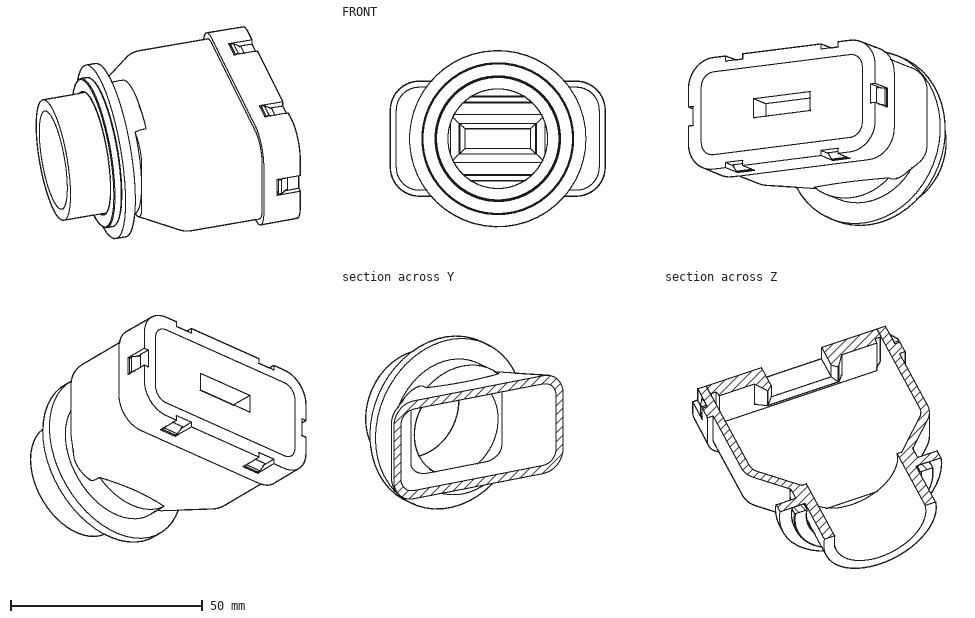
import cadquery as cq
import math


LENGTH = 59.0
SPIGOT_RADIUS = 32.0 / 2
BORE_RADIUS = 26.0 / 2
FLANGE_RADIUS = 46.0 / 2
FLANGE_FRONT = 12.9
FLANGE_BACK = 15.6
COLLAR_RADIUS = 35.0 / 2
COLLAR_BACK = 21.95
COLLAR_CONE_ANGLE = 15.0

BODY_HALF_WIDTH = 26.5
BODY_HALF_HEIGHT = 13.45
BODY_FRONT = 18.9
BODY_CORNER = 6.0
WALL = 2.35

CAP_STEP = 1.6
CAP_DEPTH = 10.0
CAP_DRAFT = 0.5

LATCH_OFFSET = 14.3
RECESS_WIDTH = 5.1
RECESS_LENGTH = 6.4
RECESS_DEPTH = 1.4
LEAD_IN_LENGTH = 2.0
LEAD_IN_DROP = 0.05
CATCH_SIDE_GAP = 0.3
CATCH_FRONT_GAP = 0.4
CATCH_RAMP = 2.0
CATCH_LAND = 0.8
CATCH_HEIGHT = 1.3

RING_INNER_RADIUS = 16.15
RING_EDGE_RADIUS = 19.75
RING_CREST_RADIUS = 19.8
RING_WIDTH = 2.2
RING_CHAMFER = 0.25

PLATE_THICKNESS = 2.95
PLATE_CHAMFER = 0.25
PAD_HALF_HEIGHT = 9.55
PAD_HEIGHT = 1.5
PAD_DRAFT_RUN = 0.25
LIP_HEIGHT = 3.35
LIP_BASE = (12.4, 6.25)
LIP_CREST = (10.15, 4.0)
WINDOW = (8.5, 2.55)
FUNNEL_RUN = 1.4
FUNNEL_DEPTH = 1.25

CAP_BACK_STEP = CAP_STEP - CAP_DEPTH * math.tan(math.radians(CAP_DRAFT))
CAVITY_HALF_WIDTH = BODY_HALF_WIDTH - WALL
CAVITY_HALF_HEIGHT = BODY_HALF_HEIGHT - WALL
CAVITY_CORNER = BODY_CORNER - WALL
PLATE_FRONT = LENGTH - PLATE_THICKNESS
PAD_FRONT = PLATE_FRONT - PAD_HEIGHT
LIP_FRONT = PAD_FRONT - LIP_HEIGHT
FUNNEL_MOUTH = (WINDOW[0] + FUNNEL_RUN, WINDOW[1] + FUNNEL_RUN)


def section_at(y):
    """Workplane across the Y axis; its local X and Y are the X and Z axes, and it extrudes to -Y."""
    return cq.Workplane("XZ", origin=(0, y, 0))


def rounded_bar(half_width, half_height, corner, front, back):
    """Straight bar along Y with rounded long edges."""
    bar = section_at(back).rect(2 * half_width, 2 * half_height).extrude(back - front)
    return bar.edges("|Y").fillet(corner)


def shouldered_block(half_width, half_height, corner, front, front_half_width):
    """Flat block that ends at LENGTH and narrows at 45 degrees to its front, with rounded side edges."""
    shoulder = front + half_width - front_half_width
    block = (
        cq.Workplane("XY", origin=(0, 0, -half_height))
        .moveTo(-front_half_width, front)
        .lineTo(front_half_width, front)
        .lineTo(half_width, shoulder)
        .lineTo(half_width, LENGTH)
        .lineTo(-half_width, LENGTH)
        .lineTo(-half_width, shoulder)
        .close()
        .extrude(2 * half_height)
    )
    block = block.edges("|Z").edges(">>Y[-2]").fillet(corner)
    rim = block.faces("<Z or >Z").edges("not(<Y or >Y)")
    return rim.fillet(corner)


def turned_end():
    """Spigot, flange and collar, with a shallow cone behind the collar."""
    cone_height = COLLAR_RADIUS * math.tan(math.radians(COLLAR_CONE_ANGLE))
    profile = [
        (0, 0),
        (SPIGOT_RADIUS, 0),
        (SPIGOT_RADIUS, FLANGE_FRONT),
        (FLANGE_RADIUS, FLANGE_FRONT),
        (FLANGE_RADIUS, FLANGE_BACK),
        (COLLAR_RADIUS, FLANGE_BACK),
        (COLLAR_RADIUS, COLLAR_BACK),
        (0, COLLAR_BACK + cone_height),
    ]
    return cq.Workplane("XY").polyline(profile).close().revolve(360, (0, 0), (0, 1))


def cap_band():
    """Thicker band at the open end, drafted so that it grows towards its front edge."""
    return (
        section_at(LENGTH)
        .sketch()
        .rect(2 * (BODY_HALF_WIDTH + CAP_BACK_STEP), 2 * (BODY_HALF_HEIGHT + CAP_BACK_STEP))
        .vertices()
        .fillet(BODY_CORNER + CAP_BACK_STEP)
        .finalize()
        .extrude(CAP_DEPTH, taper=-CAP_DRAFT)
    )


def latch_recess():
    """Recess cutter, with its floor on Z = 0 and its open end at the back of the housing."""
    lead_in_start = LENGTH - LEAD_IN_LENGTH
    top = 2 * RECESS_DEPTH
    profile = [
        (LENGTH - RECESS_LENGTH, 0),
        (lead_in_start, 0),
        (LENGTH, -LEAD_IN_DROP),
        (LENGTH, top),
        (LENGTH - RECESS_LENGTH, top),
    ]
    return cq.Workplane("YZ").polyline(profile).close().extrude(RECESS_WIDTH / 2, both=True)


def latch_catch():
    """Catch that rises from the recess floor at Z = 0, with its ramp facing the open end."""
    front = LENGTH - RECESS_LENGTH + CATCH_FRONT_GAP
    land_back = front + CATCH_LAND
    profile = [
        (front, 0),
        (front, CATCH_HEIGHT),
        (land_back, CATCH_HEIGHT),
        (land_back + CATCH_RAMP, 0),
    ]
    catch_width = RECESS_WIDTH - 2 * CATCH_SIDE_GAP
    return cq.Workplane("YZ").polyline(profile).close().extrude(catch_width / 2, both=True)


def latch_places():
    """Turn about Y, sideways offset and floor height of each latch."""
    places = []
    floor_rise = CAP_STEP - RECESS_DEPTH
    for turn in (0, 180):
        for offset in (-LATCH_OFFSET, LATCH_OFFSET):
            places.append((turn, offset, BODY_HALF_HEIGHT + floor_rise))
    for turn in (-90, 90):
        places.append((turn, 0, BODY_HALF_WIDTH + floor_rise))
    return places


def placed_latch_part(latch_part, turn, offset, floor):
    """Latch shape lifted to its floor height, shifted sideways and turned about the Y axis."""
    return latch_part.translate((offset, 0, floor)).rotate((0, 0, 0), (0, 1, 0), turn)


def make_housing():
    """One-piece housing: turned end, flat body and cap, hollowed out and fitted with latches."""
    body = shouldered_block(
        BODY_HALF_WIDTH, BODY_HALF_HEIGHT, BODY_CORNER, BODY_FRONT, COLLAR_RADIUS
    )
    housing = turned_end().union(body).union(cap_band())

    cavity_front_half_width = COLLAR_RADIUS - WALL * math.sqrt(2)
    cavity = shouldered_block(
        CAVITY_HALF_WIDTH, CAVITY_HALF_HEIGHT, CAVITY_CORNER, BODY_FRONT, cavity_front_half_width
    )
    bore = section_at(BODY_FRONT).circle(BORE_RADIUS).extrude(BODY_FRONT)
    housing = housing.cut(bore).cut(cavity)

    for turn, offset, floor in latch_places():
        housing = housing.cut(placed_latch_part(latch_recess(), turn, offset, floor))
        housing = housing.union(placed_latch_part(latch_catch(), turn, offset, floor))
    return housing


def make_sealing_ring():
    """Ring against the flange, with chamfered edges and a faint crest around its rim."""
    back = FLANGE_FRONT
    front = back - RING_WIDTH
    profile = [
        (RING_INNER_RADIUS, front + RING_CHAMFER),
        (RING_INNER_RADIUS + RING_CHAMFER, front),
        (RING_EDGE_RADIUS - RING_CHAMFER, front),
        (RING_EDGE_RADIUS, front + RING_CHAMFER),
        (RING_CREST_RADIUS, (front + back) / 2),
        (RING_EDGE_RADIUS, back - RING_CHAMFER),
        (RING_EDGE_RADIUS - RING_CHAMFER, back),
        (RING_INNER_RADIUS + RING_CHAMFER, back),
        (RING_INNER_RADIUS, back - RING_CHAMFER),
    ]
    return cq.Workplane("XY").polyline(profile).close().revolve(360, (0, 0), (0, 1))


def tapered_block(back, back_half_size, front, front_half_size):
    """Block along Y whose rectangular section changes evenly from back to front."""
    return (
        section_at(back)
        .rect(2 * back_half_size[0], 2 * back_half_size[1])
        .workplane(offset=back - front)
        .rect(2 * front_half_size[0], 2 * front_half_size[1])
        .loft(ruled=True)
    )


def make_insert():
    """Plate that closes the open end, with a raised pad and a funnel-shaped lip around its window."""
    plate = rounded_bar(CAVITY_HALF_WIDTH, CAVITY_HALF_HEIGHT, CAVITY_CORNER, PLATE_FRONT, LENGTH)
    plate = plate.faces("<Y").chamfer(PLATE_CHAMFER)

    pad_half_width = CAVITY_HALF_WIDTH - (CAVITY_HALF_HEIGHT - PAD_HALF_HEIGHT)
    pad = tapered_block(
        PLATE_FRONT,
        (pad_half_width, PAD_HALF_HEIGHT),
        PAD_FRONT,
        (pad_half_width - PAD_DRAFT_RUN, PAD_HALF_HEIGHT - PAD_DRAFT_RUN),
    )
    lip = tapered_block(PAD_FRONT, LIP_BASE, LIP_FRONT, LIP_CREST)
    funnel = tapered_block(LIP_FRONT + FUNNEL_DEPTH, WINDOW, LIP_FRONT, FUNNEL_MOUTH)
    window = section_at(LENGTH).rect(2 * WINDOW[0], 2 * WINDOW[1]).extrude(LENGTH - LIP_FRONT)
    return plate.union(pad).union(lip).cut(funnel).cut(window)


housing = make_housing()
sealing_ring = make_sealing_ring()
insert = make_insert()

result = cq.Compound.makeCompound([housing.val(), sealing_ring.val(), insert.val()])